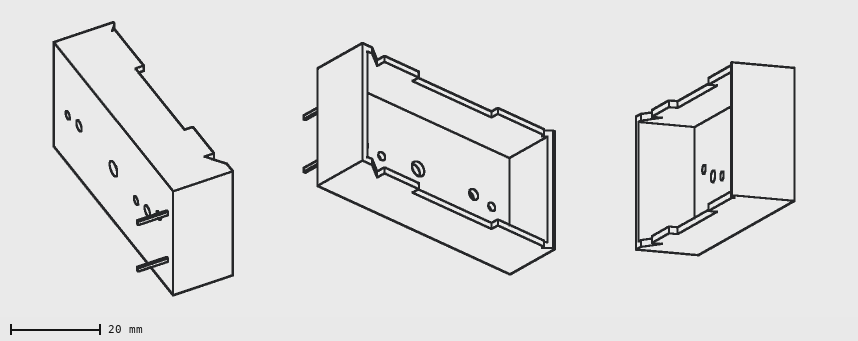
import cadquery as cq

LENGTH = 57.9
DEPTH = 15.0
HEIGHT = 30.45
WALL = 1.55
FLOOR = 1.5
MID_HEIGHT = HEIGHT / 2

RIM_Y = 14.15
RECESS_Y = 12.05
RECESS_START = 16.45
RECESS_END = 40.2

LEFT_TIP = 0.7
LEFT_NOTCH_X = 2.5
LEFT_NOTCH_Y = 13.45
RIGHT_NOTCH_X = 50.5
RIGHT_NOTCH_Y = 11.7
RIGHT_TIP = 54.95

CENTER_HOLE = 3.65
LARGE_HOLE = 2.6
SMALL_HOLE = 2.0
PAIR_SPACING = 33.05
FIRST_LARGE_HOLE_X = 12.3
FIRST_SMALL_HOLE_X = 6.85
LOW_HOLE_DROP = 1.05
HIGH_HOLE_X = 50.8
HIGH_HOLE_RISE = 2.8

PIN_X = 55.1
PIN_WIDTH = 0.6
PIN_HEIGHT = 1.0
PIN_LENGTH = 7.45
PIN_SPACING = 13.6


def make_housing():
    """Extrude the notched wall outline upward and hollow it from the +Y side."""
    outline = [
        (0, 0),
        (LENGTH, 0),
        (LENGTH, DEPTH),
        (RIGHT_TIP, DEPTH),
        (RIGHT_NOTCH_X, RIGHT_NOTCH_Y),
        (RIGHT_NOTCH_X, RIM_Y),
        (RECESS_END, RIM_Y),
        (RECESS_END, RECESS_Y),
        (RECESS_START, RECESS_Y),
        (RECESS_START, RIM_Y),
        (LEFT_NOTCH_X, RIM_Y),
        (LEFT_NOTCH_X, LEFT_NOTCH_Y),
        (LEFT_TIP, DEPTH),
        (0, DEPTH),
    ]
    block = cq.Workplane("XY").polyline(outline).close().extrude(HEIGHT)
    cavity = cq.Workplane("XY").box(
        LENGTH - 2 * WALL, DEPTH, HEIGHT - 2 * WALL, centered=False
    ).translate((WALL, FLOOR, WALL))
    return block.cut(cavity)


def floor_hole(x, z, diameter):
    """Cylinder along Y that passes through the floor."""
    drill = cq.Workplane("XZ").center(x, z).circle(diameter / 2)
    return drill.extrude(-FLOOR)


def pin(z):
    """Rectangular pin standing out of the floor toward -Y."""
    return (
        cq.Workplane("XZ")
        .center(PIN_X, z)
        .rect(PIN_WIDTH, PIN_HEIGHT)
        .extrude(PIN_LENGTH)
    )


result = make_housing()

holes = [(LENGTH / 2, MID_HEIGHT, CENTER_HOLE)]
for shift in (0, PAIR_SPACING):
    holes.append((FIRST_LARGE_HOLE_X + shift, MID_HEIGHT, LARGE_HOLE))
    holes.append((FIRST_SMALL_HOLE_X + shift, MID_HEIGHT - LOW_HOLE_DROP, SMALL_HOLE))
holes.append((HIGH_HOLE_X, MID_HEIGHT + HIGH_HOLE_RISE, SMALL_HOLE))
for x, z, diameter in holes:
    result = result.cut(floor_hole(x, z, diameter))

for side in (-1, 1):
    result = result.union(pin(MID_HEIGHT + side * PIN_SPACING / 2))